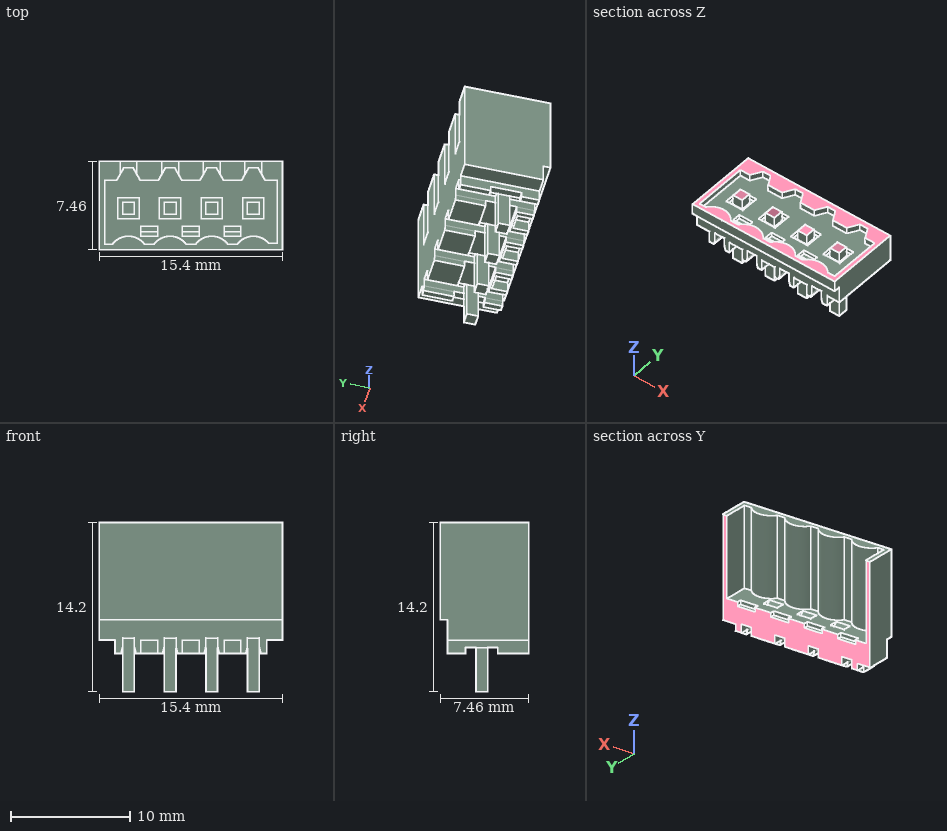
import cadquery as cq


pin_count = 4
pitch = 3.5
pin_width = 1.0
pin_tail = 3.2
pin_top = 9.78
pin_xs = [(i - (pin_count - 1) / 2) * pitch for i in range(pin_count)]
gap_xs = [x + pitch / 2 for x in pin_xs[:-1]]

length = 15.4
front_y = -3.51
back_y = 3.95
top_z = 11.04
base_z = 1.14
step_z = 2.85
step_depth = 0.62
base_front_y = front_y + step_depth

wall = 0.46
corner_pad = 0.11
back_wall = 1.6
floor_z = step_z + wall
cavity_left = -length / 2 + wall
cavity_right = length / 2 - wall
cavity_front = front_y + wall
cavity_back = back_y - back_wall
cavity_depth = top_z - floor_z

notch_top_width = 0.8
notch_base_width = 1.97
notch_back = back_y - 0.57
key_width = 1.42
key_sill_z = 5.96

rib_chord = 2.73
rib_height = 0.7
rib_radius = ((rib_chord / 2) ** 2 + rib_height**2) / (2 * rib_height)
rib_center_y = cavity_front + rib_height - rib_radius

pin_recess = 1.79
recess_depth = 0.4
window_back = -1.54
window_slope_end = -1.97
window_front = -2.37
window_depth = window_slope_end - window_front

feet_length = 12.75
channel_front = front_y + 2.15
channel_back = back_y - 2.62
channel_height = 0.51
pin_slot_top = 1.31
flare_height = 0.5
flare_width = 0.12


def block(x_min, x_max, y_min, y_max, z_min, z_max):
    """Axis-aligned box given by its limits."""
    size = (x_max - x_min, y_max - y_min, z_max - z_min)
    return cq.Workplane("XY").box(*size, centered=False).translate((x_min, y_min, z_min))


def centered_block(x, width, y_min, y_max, z_min, z_max):
    """Axis-aligned box centred on x."""
    return block(x - width / 2, x + width / 2, y_min, y_max, z_min, z_max)


def shell():
    """Outer block, set back at the bottom of its front face, with the feet strip below."""
    upper = centered_block(0, length, front_y, back_y, step_z, top_z)
    base = centered_block(0, length, base_front_y, back_y, base_z, step_z)
    feet = centered_block(0, feet_length, base_front_y, back_y, 0, base_z)
    return upper.union(base).union(feet)


def back_notch(x):
    """Tapered notch that widens the cavity into the back wall."""
    return (
        cq.Workplane("XY", origin=(x, 0, floor_z))
        .moveTo(-notch_base_width / 2, cavity_back)
        .lineTo(-notch_top_width / 2, notch_back)
        .lineTo(notch_top_width / 2, notch_back)
        .lineTo(notch_base_width / 2, cavity_back)
        .close()
        .extrude(cavity_depth)
    )


def front_rib(x):
    """Cylinder whose back segment forms a rib on the front wall."""
    return (
        cq.Workplane("XY", origin=(x, rib_center_y, floor_z))
        .circle(rib_radius)
        .extrude(cavity_depth)
    )


def cavity():
    """Open-topped mating cavity."""
    space = block(cavity_left, cavity_right, cavity_front, cavity_back, floor_z, top_z)
    pad_front_y = cavity_front + corner_pad
    space = space.cut(block(pin_xs[-1], cavity_right, cavity_front, pad_front_y, floor_z, top_z))
    for x in pin_xs:
        space = space.union(back_notch(x)).cut(front_rib(x))
    return space


def key_slot(x):
    """Slot from the notch out through the back face, open at the top."""
    return centered_block(x, key_width, cavity_back, back_y, key_sill_z, top_z)


def floor_recess(x):
    """Square recess around a pin."""
    half = pin_recess / 2
    return centered_block(x, pin_recess, -half, half, floor_z - recess_depth, floor_z)


def floor_window(x):
    """Blind pocket in the cavity floor with a sloping front side."""
    return (
        cq.Workplane("YZ", origin=(x, 0, floor_z))
        .moveTo(window_back, 0)
        .lineTo(window_front, 0)
        .lineTo(window_slope_end, -window_depth)
        .lineTo(window_back, -window_depth)
        .close()
        .extrude(key_width / 2, both=True)
    )


def foot_gap(x):
    """Notch in the front of the feet strip between two pins, as deep as the back of the floor window."""
    return centered_block(x, key_width, base_front_y, window_back, 0, base_z)


def pin_slot(x):
    """Slot under a pin, through both rows of feet and flared at the seating plane."""
    half = pin_width / 2
    return (
        cq.Workplane("XZ", origin=(x, back_y, 0))
        .moveTo(-half - flare_width, 0)
        .lineTo(-half, flare_height)
        .lineTo(-half, pin_slot_top)
        .lineTo(half, pin_slot_top)
        .lineTo(half, flare_height)
        .lineTo(half + flare_width, 0)
        .close()
        .extrude(back_y - base_front_y)
    )


def make_pin(x):
    """Straight square pin."""
    half = pin_width / 2
    return centered_block(x, pin_width, -half, half, -pin_tail, pin_top)


def make_housing():
    """Housing with its cavity, keying, feet and pin holes."""
    body = shell().cut(cavity())
    body = body.cut(centered_block(0, feet_length, channel_front, channel_back, 0, channel_height))
    for x in pin_xs:
        body = body.cut(key_slot(x)).cut(floor_recess(x)).cut(pin_slot(x)).cut(make_pin(x))
    for x in gap_xs:
        body = body.cut(floor_window(x)).cut(foot_gap(x))
    return body


housing = make_housing()
pins = [make_pin(x) for x in pin_xs]

result = cq.Compound.makeCompound([housing.val(), *[pin.val() for pin in pins]])